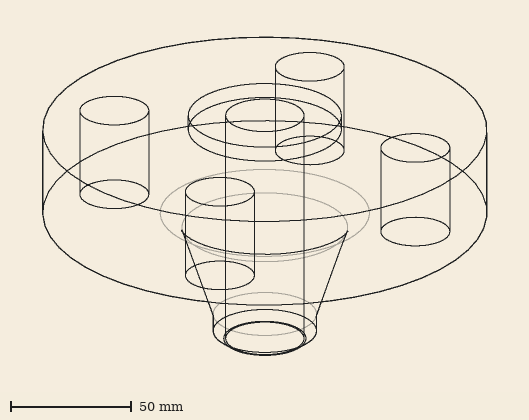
import cadquery as cq
import math

flange_diameter = 184.15
flange_thickness = 38.1
raised_face_diameter = 63.5
raised_face_height = 6.35
overall_height = 101.6

hub_base_diameter = 73.0
neck_diameter = 42.9
neck_height = 11.1
hub_fillet_radius = 9.5

weld_land_width = 0.8
bevel_angle = 37.5

bore_diameter = 32.5
bolt_circle_diameter = 130.2
bolt_hole_diameter = 28.6
bolt_hole_count = 4

flange_top = overall_height - raised_face_height
flange_bottom = flange_top - flange_thickness


def make_cylinder(diameter, bottom, top):
    """Upright cylinder on the flange axis between two levels."""
    return cq.Workplane("XY", origin=(0, 0, bottom)).circle(diameter / 2).extrude(top - bottom)


def make_flange():
    """Disc with a raised sealing face on top."""
    disc = make_cylinder(flange_diameter, flange_bottom, flange_top)
    raised_face = make_cylinder(raised_face_diameter, flange_top, overall_height)
    return disc.union(raised_face)


def make_hub():
    """Revolved hub: bevelled end, straight neck, cone and a fillet tangent to the flange underside."""
    neck_radius = neck_diameter / 2
    hub_base_radius = hub_base_diameter / 2
    end_radius = bore_diameter / 2 + weld_land_width
    bevel_height = (neck_radius - end_radius) * math.tan(math.radians(bevel_angle))

    taper = math.atan2(hub_base_radius - neck_radius, flange_bottom - neck_height)
    tangent_length = hub_fillet_radius * math.tan((math.pi / 2 - taper) / 2)
    fillet_outer_radius = hub_base_radius + tangent_length
    fillet_center_z = flange_bottom - hub_fillet_radius

    def fillet_point(angle):
        """Point (radius, height) on the fillet, at an angle above the inward radial direction."""
        return (
            fillet_outer_radius - hub_fillet_radius * math.cos(angle),
            fillet_center_z + hub_fillet_radius * math.sin(angle),
        )

    return (
        cq.Workplane("XZ")
        .moveTo(0, 0)
        .lineTo(end_radius, 0)
        .lineTo(neck_radius, bevel_height)
        .lineTo(neck_radius, neck_height)
        .lineTo(*fillet_point(taper))
        .threePointArc(fillet_point((taper + math.pi / 2) / 2), fillet_point(math.pi / 2))
        .lineTo(0, flange_bottom)
        .close()
        .revolve(360, (0, 0), (0, 1))
    )


def make_bolt_holes():
    """Cutters for the bolt holes, with the first hole on the +X axis."""
    return (
        cq.Workplane("XY", origin=(0, 0, flange_bottom))
        .polarArray(bolt_circle_diameter / 2, 0, 360, bolt_hole_count)
        .circle(bolt_hole_diameter / 2)
        .extrude(flange_thickness)
    )


bore = make_cylinder(bore_diameter, 0, overall_height)
result = make_flange().union(make_hub()).cut(bore).cut(make_bolt_holes())